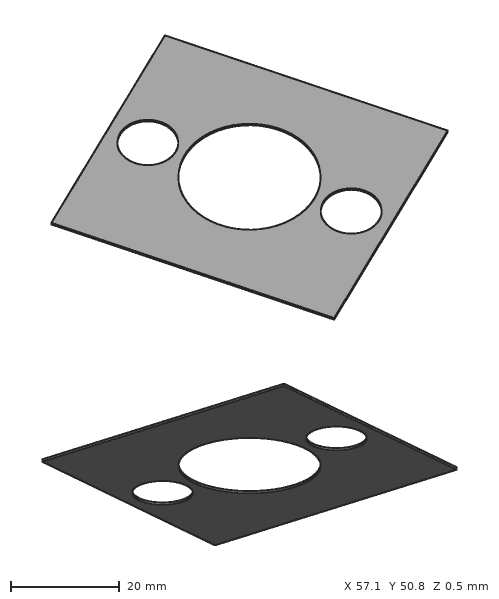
import cadquery as cq

length = 57.15
width = 50.8
thickness = 0.5

center_hole_diameter = 26.2
side_hole_diameter = 11.2
side_hole_spacing = 41.1

plate = cq.Workplane("XY").box(length, width, thickness)

center_hole = cq.Workplane("XY").circle(center_hole_diameter / 2).extrude(thickness, both=True)

side_holes = (
    cq.Workplane("XY")
    .pushPoints([(-side_hole_spacing / 2, 0), (side_hole_spacing / 2, 0)])
    .circle(side_hole_diameter / 2)
    .extrude(thickness, both=True)
)

result = plate.cut(center_hole).cut(side_holes)